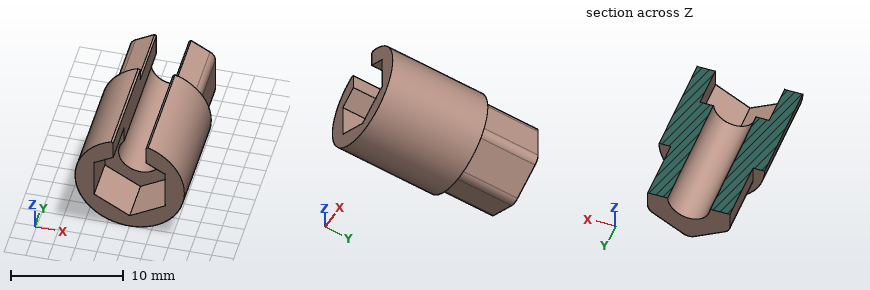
import cadquery as cq
import math

body_diameter = 10.0
body_length = 10.0

shank_across_flats = 7.8
shank_length = 6.0
shank_corner_radius = 1.0

socket_across_flats = 6.5
socket_depth = 4.0

bore_diameter = 4.0
slot_width = 3.0
slot_edge_chamfer = 0.2

total_length = body_length + shank_length


def plane_at(y):
    """Section plane whose normal is +Y and whose local y axis is +Z."""
    return cq.Workplane(cq.Plane(origin=(0, y, 0), xDir=(-1, 0, 0), normal=(0, 1, 0)))


def hexagonal_prism(across_flats, start_y, length):
    """Hexagonal prism along +Y with corners straight up and down."""
    across_corners = across_flats * 2 / math.sqrt(3)
    return (
        plane_at(start_y)
        .transformed(rotate=(0, 0, 90))
        .polygon(6, across_corners)
        .extrude(length)
    )


def make_slot():
    slot_height = body_diameter / 2
    return (
        plane_at(0)
        .center(0, slot_height / 2)
        .rect(slot_width, slot_height)
        .extrude(total_length)
    )


def chamfer_slot_mouth(part):
    """Break the outer edges of the slot on both the body and the shank."""
    half_width = slot_width / 2
    margin = 0.01
    above_bore = bore_diameter / 2
    mouth_edges = cq.selectors.BoxSelector(
        (-half_width - margin, -margin, above_bore),
        (half_width + margin, total_length + margin, body_diameter / 2),
    )
    socket_edges = cq.selectors.BoxSelector(
        (-half_width - margin, -margin, above_bore),
        (half_width + margin, socket_depth + margin, socket_across_flats / math.sqrt(3)),
    )
    lengthwise_edges = cq.selectors.ParallelDirSelector(cq.Vector(0, 1, 0))
    selection = cq.selectors.AndSelector(lengthwise_edges, mouth_edges - socket_edges)
    return part.edges(selection).chamfer(slot_edge_chamfer)


body = plane_at(0).circle(body_diameter / 2).extrude(body_length)
shank = hexagonal_prism(shank_across_flats, body_length, shank_length)
shank = shank.edges("|Y").fillet(shank_corner_radius)
socket = hexagonal_prism(socket_across_flats, 0, socket_depth)
bore = plane_at(0).circle(bore_diameter / 2).extrude(total_length)

result = body.union(shank).cut(bore).cut(socket).cut(make_slot())
result = chamfer_slot_mouth(result)